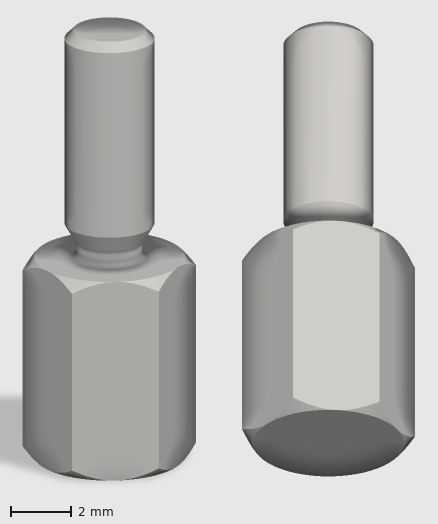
import cadquery as cq
import math

across_flats = 5.0
hex_half_angle = math.radians(30)
across_corners = across_flats / math.cos(hex_half_angle)
body_height = 7.0
corner_chamfer = (across_corners - across_flats) / 2

overall_height = 15.0
stud_radius = 3.0 / 2
stud_tip_radius = 2.4 / 2
tip_chamfer = stud_radius - stud_tip_radius

neck_radius = 2.2 / 2
neck_fillet = 0.2
cone_angle = math.radians(30)
cone_top = 8.2
cone_bottom = cone_top - (stud_radius - neck_radius) / math.tan(cone_angle)


def make_body():
    """Hexagonal prism, corners along X, with both ends turned to a cone."""
    prism = cq.Workplane("XY").polygon(6, across_corners).extrude(body_height)
    turned_blank = (
        cq.Workplane("XY")
        .circle(across_corners / 2)
        .extrude(body_height)
        .faces("<Z or >Z")
        .chamfer(corner_chamfer)
    )
    return prism.intersect(turned_blank)


def make_stud():
    """Turned stud with a chamfered tip, a conical run-out and a filleted neck."""
    half_turn = cone_angle / 2
    tangent_length = neck_fillet * math.tan(half_turn)
    cone_sin = math.sin(cone_angle)
    cone_cos = math.cos(cone_angle)
    arc_start = (neck_radius, cone_bottom - tangent_length)
    arc_middle = (
        neck_radius + neck_fillet * (1 - math.cos(half_turn)),
        arc_start[1] + neck_fillet * math.sin(half_turn),
    )
    arc_end = (
        neck_radius + tangent_length * cone_sin,
        cone_bottom + tangent_length * cone_cos,
    )

    foot_offset = neck_fillet * (1 - math.cos(math.radians(45)))
    foot_middle = (neck_radius + foot_offset, body_height + foot_offset)

    return (
        cq.Workplane("XZ")
        .moveTo(0, body_height)
        .lineTo(neck_radius + neck_fillet, body_height)
        .threePointArc(foot_middle, (neck_radius, body_height + neck_fillet))
        .lineTo(*arc_start)
        .threePointArc(arc_middle, arc_end)
        .lineTo(stud_radius, cone_top)
        .lineTo(stud_radius, overall_height - tip_chamfer)
        .lineTo(stud_tip_radius, overall_height)
        .lineTo(0, overall_height)
        .close()
        .revolve(360, (0, 0, 0), (0, 1, 0))
    )


result = make_body().union(make_stud())